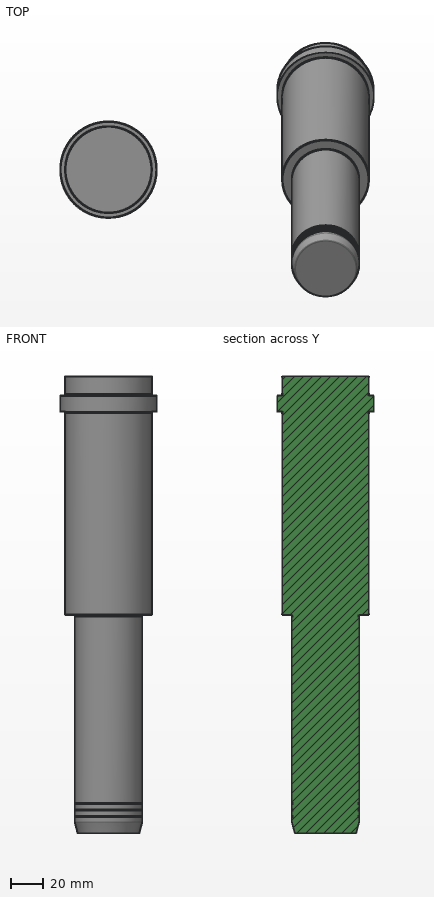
import cadquery as cq
import math

total_length = 283.0
pin_length = 135.0
head_length = 12.0
flange_thickness = 10.0
flange_top_z = total_length - head_length
flange_bottom_z = flange_top_z - flange_thickness

pin_radius = 42.0 / 2
body_radius = 54.0 / 2
flange_radius = 60.0 / 2

lead_in_height = 7.0
lead_in_angle = 15.0
tip_radius = pin_radius - lead_in_height * math.tan(math.radians(lead_in_angle))
tip_fillet = 0.5

edge_chamfer = 0.5

relief_width = 0.9
relief_land = 0.1
relief_offset = relief_land + relief_width / 2

oil_groove_count = 3
oil_groove_width = 1.0
oil_groove_pitch = 4.0
lowest_oil_groove_z = 10.5


def cylinder(radius, bottom_z, top_z):
    """Solid cylinder on the Z axis between two levels."""
    return cq.Workplane("XY").workplane(offset=bottom_z).circle(radius).extrude(top_z - bottom_z)


def revolve_profile(profile):
    """Revolve a closed XZ profile a full turn about the Z axis."""
    return profile.revolve(360, (0, 0, 0), (0, 1, 0))


def lead_in():
    """Cone at the lower end of the pin, with its tip edge rounded."""
    profile = (
        cq.Workplane("XZ")
        .lineTo(tip_radius, 0)
        .lineTo(pin_radius, lead_in_height)
        .lineTo(0, lead_in_height)
        .close()
    )
    return revolve_profile(profile).faces("<Z").edges().fillet(tip_fillet)


def groove_cutter(surface_radius, center_z, width):
    """Ring that cuts a groove of semicircular section into a cylindrical surface."""
    depth = width / 2
    upper_z = center_z + width / 2
    lower_z = center_z - width / 2
    profile = (
        cq.Workplane("XZ")
        .moveTo(surface_radius, lower_z)
        .threePointArc((surface_radius - depth, center_z), (surface_radius, upper_z))
        .lineTo(surface_radius + depth, upper_z)
        .lineTo(surface_radius + depth, lower_z)
        .close()
    )
    return revolve_profile(profile)


def pin():
    """Slim lower section with its lead-in, oil grooves and a relief below the body."""
    solid = lead_in().union(cylinder(pin_radius, lead_in_height, pin_length))
    for index in range(oil_groove_count):
        groove_z = lowest_oil_groove_z + index * oil_groove_pitch
        solid = solid.cut(groove_cutter(pin_radius, groove_z, oil_groove_width))
    return solid.cut(groove_cutter(pin_radius, pin_length - relief_offset, relief_width))


def body():
    """Thick upper section with a relief on each side of the flange."""
    solid = cylinder(body_radius, pin_length, total_length).faces("<Z or >Z").edges().chamfer(edge_chamfer)
    for relief_z in (flange_bottom_z - relief_offset, flange_top_z + relief_offset):
        solid = solid.cut(groove_cutter(body_radius, relief_z, relief_width))
    return solid


def flange():
    """Collar around the body, chamfered on its upper edge."""
    return cylinder(flange_radius, flange_bottom_z, flange_top_z).faces(">Z").edges().chamfer(edge_chamfer)


result = pin().union(body()).union(flange())